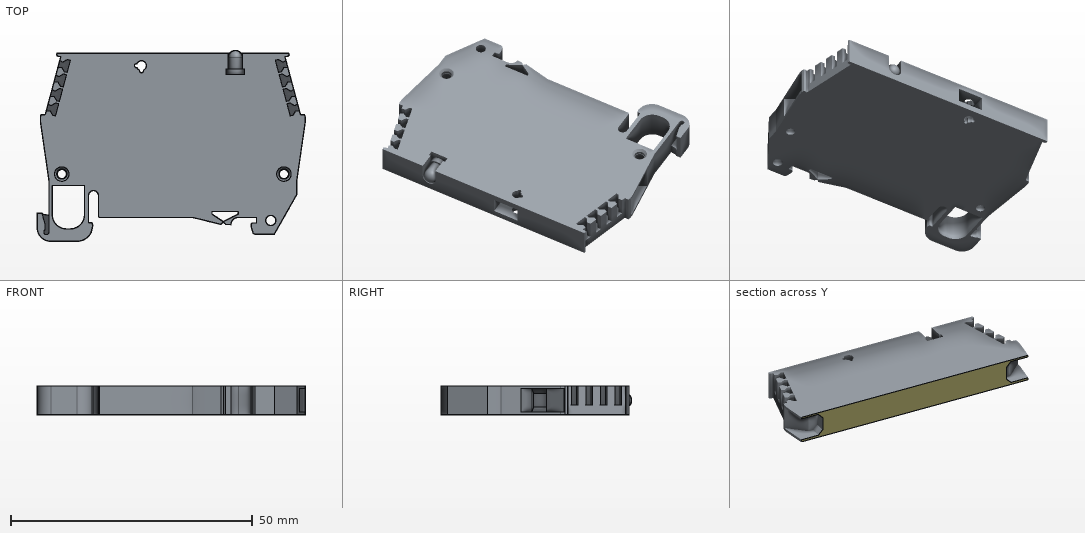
import cadquery as cq
import math

thickness = 6.0
mid_height = thickness / 2
mirror_x = 28.15
recess_depth = 4.0
recess_floor = thickness - recess_depth
diagonal = math.sqrt(0.5)
margin = 0.55

top_y = 39.05
bottom_y = 4.95
shoulder_x = 0.65
shoulder_top_y = 25.8
shoulder_bottom_y = 24.8
waist_x = 2.45
waist_y = 12.45

marker_angle = math.radians(15)
marker_start = (4.9, 38.35)
marker_end_y = 26.45
marker_end_x = marker_start[0] - (marker_start[1] - marker_end_y) * math.tan(marker_angle)

shoulder_lip = [(0.85, 26.3), (1.35, 26.3), (1.55, 26.2)]
corner_lip = [(4.4, marker_start[1]), (4.0, 38.6)]
corner_x = 4.1

notch_count = 4
notch_pitch_y = 3.0
notch_start_y = 37.5
notch_profile = [
    (-0.55, 0.15), (0.0, 0.0), (0.65, -0.35), (1.6, 0.2), (2.2, 0.05),
    (1.55, -2.45), (1.0, -2.35), (0.6, -1.7), (0.45, -1.4), (-1.1, -1.4),
]

hook_tip_y = 5.85
hook_tip_width = 1.0
gap_floor_step = (1.3, 5.6)
gap_floor_y = 5.45
gap_narrow_x = 1.65
gap_slant_end_y = 3.45
gap_neck_y = 2.4
gap_relief_left = (1.45, 1.65)
gap_relief_bottom = (1.95, 1.4)
gap_relief_right = (2.3, 1.55)
gap_relief_end_y = 1.85
hook_outer_radius = 2.85
hook_arc_start_x = 8.25
hook_arc_middle = (10.0, 0.5)
hook_arc_end = (11.25, 1.9)
hook_nose = (11.6, 3.3)
hook_step_y = 3.9
hook_step_chamfer = 0.2
slot_left_x = 10.7
slot_right_x = 12.7
slot_radius = (slot_right_x - slot_left_x) / 2
slot_top_y = 10.5
slot_corner = 0.2

latch_y = 3.5
latch_fillet = 1.5
latch_heel_x = 40.25
latch_split_x = 38.6
latch_split_y = 4.0
latch_split_half = 0.5
latch_ramp_x = 32.2
latch_window_left_x = 36.3
latch_window_right_x = 41.7
latch_window_top_y = 6.2
latch_window_side_y = 5.7
latch_web = 0.1
foot_y = 1.45
foot_heel_x = 49.2
foot_toe_x = 45.2
foot_hook_x = 44.4
foot_hook_y = 2.95
foot_toe_chamfer = 0.4
foot_corner = 0.2
foot_undercut_x = 45.45
foot_undercut_y = 3.85
heel_y = 9.7

window_left_x = 3.15
window_right_x = 9.8
window_bottom_y = 2.6
window_top_y = 11.6
window_radius = 2.9

screw_x = 5.1
screw_y = 13.95
screw_bore_diameter = 1.9
screw_seat_diameter = 2.1
screw_seat_depth = 1.0
screw_sink_diameter = 3.0
foot_hole_center = (48.45, 4.35)
foot_hole_diameter = 2.05
key_center = (21.65, 36.45)
key_radius = 1.0
key_lobe_radius = 0.4
key_lobe_offset = 1.05

edge_recess_left_x = 20.05
edge_recess_right_x = 25.6
edge_recess_depth = 3.9
edge_recess_roof_z = 4.7
edge_recess_floor_z = thickness - edge_recess_roof_z

entry_bottom_z = 0.6
entry_top_z = 5.5
entry_slant_x = 4.4
throat_start_x = 5.45
entry_upper_y = 25.55
entry_lower_y = 16.7
throat_upper_y = 22.0
throat_lower_y = 18.85
throat_length = 1.0
throat_end_lower_y = 19.25
throat_end_bottom_z = 1.6
throat_end_top_z = 4.45

lamp_x = 41.1
lamp_bottom_y = 34.65
lamp_collar_length = 1.1
lamp_collar_diameter = 3.85
lamp_diameter = 3.0
lamp_tip_y = 39.6
lamp_radius = lamp_diameter / 2
lamp_collar_radius = lamp_collar_diameter / 2
lamp_dome_y = lamp_tip_y - lamp_radius
lamp_collar_top_y = lamp_bottom_y + lamp_collar_length


def mirrored(point):
    """The same point on the other side of the symmetry line."""
    return (2 * mirror_x - point[0], point[1])


def with_mirror_copy(solid):
    """A cutter together with its mirror image across the symmetry line."""
    twin = solid.mirror("YZ", (mirror_x, 0, 0))
    return solid.union(twin)


def plate():
    """Extruded outline, with both shoulders sharing one mirrored profile."""
    shoulder = [
        (waist_x, waist_y),
        (shoulder_x, shoulder_bottom_y),
        (shoulder_x, shoulder_top_y),
        *shoulder_lip,
        (marker_end_x, marker_end_y),
        marker_start,
        *corner_lip,
        (corner_x, top_y),
    ]
    slot_mid_x = (slot_left_x + slot_right_x) / 2
    fillet_x = latch_heel_x + latch_fillet
    fillet_y = bottom_y - latch_fillet

    outline = cq.Workplane("XY").polyline(shoulder)
    for point in reversed(shoulder):
        outline = outline.lineTo(*mirrored(point))
    outline = (
        outline.lineTo(mirrored((waist_x, 0))[0], heel_y)
        .lineTo(foot_heel_x, foot_y)
        .lineTo(foot_toe_x, foot_y)
        .lineTo(foot_toe_x - foot_toe_chamfer, foot_y + foot_corner)
        .lineTo(foot_hook_x, foot_hook_y)
        .lineTo(foot_hook_x, foot_undercut_y - foot_corner)
        .lineTo(foot_hook_x + foot_corner, foot_undercut_y)
        .lineTo(foot_undercut_x, foot_undercut_y)
        .lineTo(foot_undercut_x, bottom_y)
    )
    outline = (
        outline.lineTo(fillet_x, bottom_y)
        .threePointArc(
            (fillet_x - latch_fillet * diagonal, fillet_y + latch_fillet * diagonal),
            (latch_heel_x, fillet_y),
        )
        .lineTo(latch_split_x + latch_split_half, latch_y)
        .lineTo(latch_split_x, latch_split_y)
        .lineTo(latch_split_x - latch_split_half, latch_y)
        .lineTo(latch_ramp_x, bottom_y)
    )
    outline = (
        outline.lineTo(slot_right_x + slot_corner, bottom_y)
        .lineTo(slot_right_x, bottom_y + slot_corner)
        .lineTo(slot_right_x, slot_top_y - slot_radius)
        .threePointArc((slot_mid_x, slot_top_y), (slot_left_x, slot_top_y - slot_radius))
        .lineTo(slot_left_x, hook_step_y)
        .lineTo(hook_nose[0] - hook_step_chamfer, hook_step_y)
        .lineTo(*hook_nose)
        .lineTo(*hook_arc_end)
        .threePointArc(hook_arc_middle, (hook_arc_start_x, 0))
        .lineTo(hook_outer_radius, 0)
        .threePointArc(
            (hook_outer_radius * (1 - diagonal), hook_outer_radius * (1 - diagonal)),
            (0, hook_outer_radius),
        )
        .lineTo(0, hook_tip_y)
        .lineTo(hook_tip_width, hook_tip_y)
        .lineTo(*gap_floor_step)
        .lineTo(waist_x, gap_floor_y)
        .close()
    )
    return outline.extrude(thickness)


def hook_gap():
    """Blind gap between the hook tip and the plate, ending in a round relief."""
    return (
        cq.Workplane("XY")
        .workplane(offset=recess_floor)
        .moveTo(waist_x, hook_tip_y)
        .lineTo(hook_tip_width, hook_tip_y)
        .lineTo(gap_narrow_x, gap_slant_end_y)
        .lineTo(gap_narrow_x, gap_neck_y)
        .threePointArc(gap_relief_left, gap_relief_bottom)
        .threePointArc(gap_relief_right, (waist_x, gap_relief_end_y))
        .close()
        .extrude(recess_depth)
    )


def marker_notches():
    """Wavy notches stepping down the slanted edge, open at the upper face."""
    notches = cq.Workplane("XY")
    for index in range(notch_count):
        y = notch_start_y - index * notch_pitch_y
        x = marker_start[0] - (marker_start[1] - y) * math.tan(marker_angle)
        notch = (
            cq.Workplane("XY", origin=(x, y, recess_floor))
            .polyline(notch_profile)
            .close()
            .extrude(recess_depth)
        )
        notches = notches.add(notch)
    return notches.combine()


def hook_window():
    """Window through the hook, rounded at its lower corners."""
    width = window_right_x - window_left_x
    height = window_top_y - window_bottom_y
    return (
        cq.Workplane("XY", origin=(window_left_x, window_bottom_y, 0))
        .rect(width, height, centered=False)
        .extrude(thickness)
        .edges("|Z and <Y")
        .fillet(window_radius)
    )


def latch_window():
    """Triangular hole that frees the latch."""
    tip_y = latch_split_y + latch_web
    return (
        cq.Workplane("XY")
        .polyline([
            (latch_window_left_x, latch_window_top_y),
            (latch_window_right_x, latch_window_top_y),
            (latch_window_right_x, latch_window_side_y),
            (latch_split_x, tip_y),
            (latch_window_left_x, latch_window_side_y),
        ])
        .close()
        .extrude(thickness)
    )


def key_hole():
    """Round hole with one small lobe to the left and one below."""
    lobes = [(key_center[0] - key_lobe_offset, key_center[1]),
             (key_center[0], key_center[1] - key_lobe_offset)]
    hole = cq.Workplane("XY").center(*key_center).circle(key_radius).extrude(thickness)
    return hole.union(cq.Workplane("XY").pushPoints(lobes).circle(key_lobe_radius).extrude(thickness))


def edge_recess():
    """Rectangular recess running in from the +Y edge, across the key hole."""
    width = edge_recess_right_x - edge_recess_left_x
    height = edge_recess_roof_z - edge_recess_floor_z
    corner = (edge_recess_left_x, top_y - edge_recess_depth, edge_recess_floor_z)
    return cq.Workplane("XY", origin=corner).box(width, edge_recess_depth + margin, height, centered=False)


def screw_hole():
    """Through bore with a shallow wider seat and a 45 degree countersink."""
    bore_radius = screw_bore_diameter / 2
    seat_radius = screw_seat_diameter / 2
    sink_radius = screw_sink_diameter / 2
    seat_z = thickness - screw_seat_depth
    sink_z = thickness - (sink_radius - seat_radius)
    return (
        cq.Workplane("XZ", origin=(screw_x, screw_y, 0))
        .polyline([(0, 0), (bore_radius, 0), (bore_radius, seat_z), (seat_radius, seat_z),
                   (seat_radius, sink_z), (sink_radius, thickness), (0, thickness)])
        .close()
        .revolve(360, (0, 0, 0), (0, 1, 0))
    )


def wire_entry():
    """Side pocket with slanted ends that narrows into a tapered throat."""
    funnel_height = entry_top_z - entry_bottom_z
    lower_x = waist_x - (entry_lower_y - waist_y) * (waist_x - shoulder_x) / (shoulder_bottom_y - waist_y)
    pocket = (
        cq.Workplane("XY", origin=(0, 0, entry_bottom_z))
        .polyline([
            (-margin, entry_upper_y),
            (shoulder_x, entry_upper_y),
            (entry_slant_x, throat_upper_y),
            (throat_start_x, throat_upper_y),
            (throat_start_x, throat_lower_y),
            (lower_x, entry_lower_y),
            (-margin, entry_lower_y),
        ])
        .close()
        .extrude(funnel_height)
    )
    throat = (
        cq.Workplane("YZ", origin=(throat_start_x, 0, 0))
        .polyline([(throat_lower_y, entry_bottom_z), (throat_upper_y, entry_bottom_z),
                   (throat_upper_y, entry_top_z), (throat_lower_y, entry_top_z)])
        .close()
        .workplane(offset=throat_length)
        .polyline([(throat_end_lower_y, throat_end_bottom_z), (throat_upper_y, throat_end_bottom_z),
                   (throat_upper_y, throat_end_top_z), (throat_end_lower_y, throat_end_top_z)])
        .close()
        .loft(ruled=True)
    )
    return pocket.union(throat)


def make_lamp():
    """Lamp turned about a line along Y: collar, stem and domed tip."""
    return (
        cq.Workplane("XY", origin=(lamp_x, 0, mid_height))
        .moveTo(0, lamp_bottom_y)
        .lineTo(lamp_collar_radius, lamp_bottom_y)
        .lineTo(lamp_collar_radius, lamp_collar_top_y)
        .lineTo(lamp_radius, lamp_collar_top_y)
        .lineTo(lamp_radius, lamp_dome_y)
        .threePointArc((lamp_radius * diagonal, lamp_dome_y + lamp_radius * diagonal), (0, lamp_tip_y))
        .close()
        .revolve(360, (0, 0, 0), (0, 1, 0))
    )


def lamp_seat():
    """Stepped channel with a half-round floor, open at the upper face and the +Y edge."""
    seat = cq.Workplane("XY")
    steps = [(lamp_collar_radius, lamp_bottom_y, lamp_collar_top_y),
             (lamp_radius, lamp_collar_top_y, top_y + margin)]
    for radius, start_y, end_y in steps:
        length = end_y - start_y
        floor = (
            cq.Workplane("XZ", origin=(lamp_x, end_y, mid_height))
            .circle(radius)
            .extrude(length)
        )
        opening = cq.Workplane("XY", origin=(lamp_x - radius, start_y, mid_height)).rect(
            2 * radius, length, centered=False
        ).extrude(thickness - mid_height)
        seat = seat.add(floor.union(opening))
    return seat.combine()


def make_housing():
    """Terminal housing with all its openings."""
    body = plate()
    body = body.cut(hook_gap())
    body = body.cut(hook_window())
    body = body.cut(latch_window())
    body = body.cut(key_hole())
    body = body.cut(edge_recess())
    body = body.cut(with_mirror_copy(marker_notches()))
    body = body.cut(with_mirror_copy(wire_entry()))
    body = body.cut(lamp_seat())
    body = body.cut(with_mirror_copy(screw_hole()))
    return (
        body.faces(">Z")
        .workplane(origin=(0, 0, thickness))
        .pushPoints([foot_hole_center])
        .hole(foot_hole_diameter)
    )


housing = make_housing()
lamp = make_lamp()
result = cq.Compound.makeCompound([housing.val(), lamp.val()])